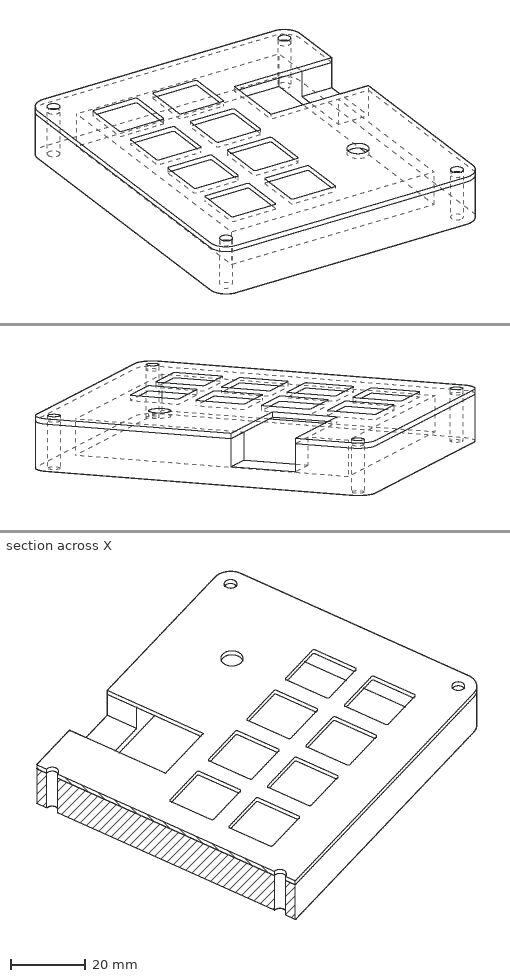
import cadquery as cq

LENGTH = 98.0
WIDTH = 83.4
HEIGHT = 14.5
CORNER_RADIUS = 5.0

LID_THICKNESS = 1.5
TRAY_HEIGHT = HEIGHT - LID_THICKNESS
FLOOR_THICKNESS = 3.0
WALL_THICKNESS = 9.5

SCREW_DIAMETER = 3.4
SCREW_INSET = CORNER_RADIUS

KEY_COLUMNS = 4
KEY_ROWS = 2
KEY_PITCH = 19.0
KEY_WINDOW_X = 14.1
KEY_WINDOW_Y = 14.0
KEY_CORNER_RADIUS = 0.5
KEY_GRID_CENTER = (-0.8, -12.5)

NOTCH_WIDTH = 18.6
NOTCH_CENTER_X = -18.5
NOTCH_LENGTH = 31.0
NOTCH_SILL = 5.3

ROUND_HOLE_DIAMETER = 6.0
ROUND_HOLE_CENTER = (19.7, 20.4)


def rounded_slab(bottom, thickness):
    """Slab with the case outline and the four screw holes."""
    return (
        cq.Workplane("XY", origin=(0, 0, bottom))
        .rect(LENGTH, WIDTH)
        .extrude(thickness)
        .edges("|Z")
        .fillet(CORNER_RADIUS)
        .faces(">Z")
        .workplane(origin=(0, 0, 0))
        .rect(LENGTH - 2 * SCREW_INSET, WIDTH - 2 * SCREW_INSET, forConstruction=True)
        .vertices()
        .hole(SCREW_DIAMETER)
    )


def notch_cutter(bottom, length):
    """Block that opens the +Y edge from the given height up to the top."""
    return (
        cq.Workplane("XY")
        .box(NOTCH_WIDTH, length, HEIGHT - bottom, centered=(True, False, False))
        .translate((NOTCH_CENTER_X, WIDTH / 2 - length, bottom))
    )


def make_tray():
    """Open-topped tray with a rectangular cavity and a notched +Y wall."""
    cavity = (
        cq.Workplane("XY", origin=(0, 0, FLOOR_THICKNESS))
        .rect(LENGTH - 2 * WALL_THICKNESS, WIDTH - 2 * WALL_THICKNESS)
        .extrude(TRAY_HEIGHT - FLOOR_THICKNESS)
    )
    return rounded_slab(0, TRAY_HEIGHT).cut(cavity).cut(notch_cutter(NOTCH_SILL, WALL_THICKNESS))


def make_lid():
    """Flat lid with key windows, the edge notch and a round hole."""
    key_windows = (
        cq.Workplane("XY", origin=(0, 0, TRAY_HEIGHT))
        .center(*KEY_GRID_CENTER)
        .rarray(KEY_PITCH, KEY_PITCH, KEY_COLUMNS, KEY_ROWS)
        .rect(KEY_WINDOW_X, KEY_WINDOW_Y)
        .extrude(LID_THICKNESS)
        .edges("|Z")
        .fillet(KEY_CORNER_RADIUS)
    )
    round_hole = (
        cq.Workplane("XY", origin=(0, 0, TRAY_HEIGHT))
        .center(*ROUND_HOLE_CENTER)
        .circle(ROUND_HOLE_DIAMETER / 2)
        .extrude(LID_THICKNESS)
    )
    return (
        rounded_slab(TRAY_HEIGHT, LID_THICKNESS)
        .cut(key_windows)
        .cut(notch_cutter(TRAY_HEIGHT, NOTCH_LENGTH))
        .cut(round_hole)
    )


tray = make_tray()
lid = make_lid()
result = cq.Compound.makeCompound([tray.val(), lid.val()])